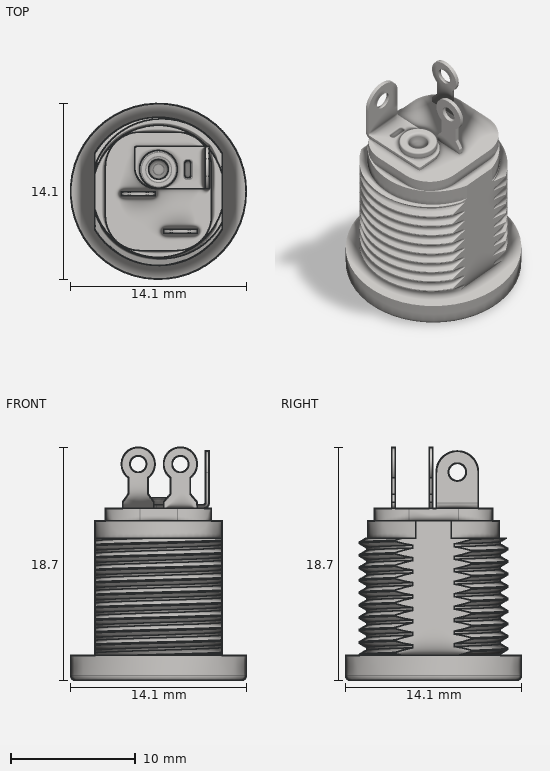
import cadquery as cq
import math

flange_top = 2.0
thread_top = 11.4
collar_top = 12.8
base_top = 13.8
part_top = 18.7

flange_diameter = 14.1
flange_round = 0.4
collar_diameter = 10.6
width_across_flats = 10.2

crest_radius = 5.95
root_radius = 5.36
pitch = 1.0
crest_width = 0.1
flank_half_angle = 30.0
first_crest_height = 0.28
tooth_sink = 0.1

base_length_x = 8.5
base_length_y = 9.5
base_corner_radius = 2.75

lug_thickness = 0.3
lug_ring_radius = 1.35
lug_hole_diameter = 1.3
lug_neck_width = 1.6
lug_shoulder_bottom = 0.5
lug_shoulder_top = 1.15
left_lug_foot_width = 2.5
right_lug_foot_width = 2.7
left_lug_x = -1.62
right_lug_x = 1.76
left_lug_front_y = -0.35
right_lug_front_y = -3.35

bracket_thickness = 0.3
bracket_x_min = -1.91
bracket_x_max = 4.07
bracket_y_min = 0.22
bracket_y_max = 3.6
bracket_top = 18.4
bracket_hole_diameter = 1.4
bend_inner_radius = 0.15
plate_large_corner = 1.75
plate_small_corner = 0.15

slot_center_x = 2.36
slot_width = 0.46
slot_length = 1.36
slot_corner_radius = 0.17
slot_depth = 0.27
slot_floor_round = 0.14
slot_rim_round = 0.12
rim_search_margin = 0.02

rivet_y = 1.765
rivet_head_diameter = 3.03
rivet_head_height = 0.56
rivet_head_round = 0.12
rivet_shank_diameter = 2.0
rivet_recess_diameter = 1.58
rivet_recess_depth = 0.62
rivet_recess_floor_round = 0.35
rivet_recess_rim_round = 0.25


def thread_ridge():
    """Helical ridge, longer than the threaded stretch at both ends and trimmed to it."""
    inner_radius = root_radius - tooth_sink
    crest_half = crest_width / 2
    depth = crest_radius - inner_radius
    inner_half = crest_half + depth * math.tan(math.radians(flank_half_angle))
    helix = cq.Wire.makeHelix(pitch, thread_top + pitch, root_radius)
    helix = helix.translate(cq.Vector(0, 0, first_crest_height))
    ridge = (
        cq.Workplane("XZ")
        .polyline([
            (inner_radius, first_crest_height - inner_half),
            (crest_radius, first_crest_height - crest_half),
            (crest_radius, first_crest_height + crest_half),
            (inner_radius, first_crest_height + inner_half),
        ])
        .close()
        .sweep(cq.Workplane(obj=helix), isFrenet=True)
    )
    stretch = (
        cq.Workplane("XY")
        .workplane(offset=flange_top)
        .circle(flange_diameter / 2)
        .extrude(thread_top - flange_top)
    )
    return ridge.intersect(stretch)


def make_housing():
    """Round flange, threaded barrel and collar, with two flats along the barrel."""
    flange = (
        cq.Workplane("XY")
        .circle(flange_diameter / 2)
        .extrude(flange_top)
        .faces("<Z")
        .edges()
        .fillet(flange_round)
    )
    core = (
        cq.Workplane("XY")
        .workplane(offset=flange_top)
        .circle(root_radius)
        .extrude(thread_top - flange_top)
    )
    collar = (
        cq.Workplane("XY")
        .workplane(offset=thread_top)
        .circle(collar_diameter / 2)
        .extrude(collar_top - thread_top)
    )
    flats = (
        cq.Workplane("XY")
        .workplane(offset=flange_top)
        .rect(width_across_flats, flange_diameter)
        .extrude(collar_top - flange_top)
    )
    barrel = core.union(thread_ridge()).union(collar).intersect(flats)
    return flange.union(barrel)


def make_base():
    """Rounded plate on the collar, pierced by the rivet."""
    plate = (
        cq.Workplane("XY")
        .workplane(offset=collar_top)
        .rect(base_length_x, base_length_y)
        .extrude(base_top - collar_top)
        .edges("|Z")
        .fillet(base_corner_radius)
    )
    return plate.cut(rivet_shank())


def make_lug(center_x, front_y, foot_width):
    """Flat solder lug standing on the base plate."""
    ring_z = part_top - lug_ring_radius
    shoulder_bottom_z = base_top + lug_shoulder_bottom
    shoulder_top_z = base_top + lug_shoulder_top
    foot_half = foot_width / 2
    neck_half = lug_neck_width / 2
    back_plane = cq.Workplane("XZ", origin=(center_x, front_y + lug_thickness, 0))
    stem = (
        back_plane
        .polyline([
            (-foot_half, base_top),
            (foot_half, base_top),
            (foot_half, shoulder_bottom_z),
            (neck_half, shoulder_top_z),
            (neck_half, ring_z),
            (-neck_half, ring_z),
            (-neck_half, shoulder_top_z),
            (-foot_half, shoulder_bottom_z),
        ])
        .close()
        .extrude(lug_thickness)
    )
    ring = back_plane.center(0, ring_z).circle(lug_ring_radius).extrude(lug_thickness)
    hole = back_plane.center(0, ring_z).circle(lug_hole_diameter / 2).extrude(lug_thickness)
    return stem.union(ring).cut(hole)


def bracket_slot():
    """Rounded cutter for the pressed slot."""
    return (
        cq.Workplane("XY", origin=(slot_center_x, rivet_y, base_top + bracket_thickness))
        .rect(slot_width, slot_length)
        .extrude(-slot_depth)
        .edges("|Z")
        .fillet(slot_corner_radius)
        .faces("<Z")
        .edges()
        .fillet(slot_floor_round)
    )


def make_bracket():
    """Sheet bent up at its +X end into a round-topped tab."""
    width = bracket_y_max - bracket_y_min
    middle_y = (bracket_y_max + bracket_y_min) / 2
    plate_top = base_top + bracket_thickness
    tab_hole_z = bracket_top - width / 2
    bend_outer_radius = bend_inner_radius + bracket_thickness
    tab_inner_x = bracket_x_max - bracket_thickness

    plate = (
        cq.Workplane("XZ", origin=(0, bracket_y_max, 0))
        .moveTo(bracket_x_min, base_top)
        .lineTo(bracket_x_max - bend_outer_radius, base_top)
        .radiusArc((bracket_x_max, base_top + bend_outer_radius), -bend_outer_radius)
        .lineTo(bracket_x_max, bracket_top)
        .lineTo(tab_inner_x, bracket_top)
        .lineTo(tab_inner_x, plate_top + bend_inner_radius)
        .radiusArc((tab_inner_x - bend_inner_radius, plate_top), bend_inner_radius)
        .lineTo(bracket_x_min, plate_top)
        .close()
        .extrude(width)
    )
    plate = plate.edges("|Z and <X and <Y").fillet(plate_large_corner)
    plate = plate.edges("|Z and <X and >Y").fillet(plate_small_corner)

    tab_outline = (
        cq.Workplane("YZ", origin=(bracket_x_min, 0, 0))
        .moveTo(bracket_y_min, base_top)
        .lineTo(bracket_y_max, base_top)
        .lineTo(bracket_y_max, tab_hole_z)
        .threePointArc((middle_y, bracket_top), (bracket_y_min, tab_hole_z))
        .close()
        .extrude(bracket_x_max - bracket_x_min)
    )
    tab_hole = (
        cq.Workplane("YZ", origin=(tab_inner_x, middle_y, tab_hole_z))
        .circle(bracket_hole_diameter / 2)
        .extrude(bracket_thickness)
    )
    bracket = plate.intersect(tab_outline).cut(tab_hole).cut(bracket_slot())
    slot_rim = cq.selectors.BoxSelector(
        (slot_center_x - slot_width, rivet_y - slot_length, plate_top - rim_search_margin),
        (slot_center_x + slot_width, rivet_y + slot_length, plate_top + rim_search_margin),
    )
    return bracket.edges(slot_rim).fillet(slot_rim_round).cut(rivet_shank())


def rivet_shank():
    """Shank through the bracket and the base plate."""
    return (
        cq.Workplane("XY", origin=(0, rivet_y, collar_top))
        .circle(rivet_shank_diameter / 2)
        .extrude(base_top + bracket_thickness - collar_top)
    )


def make_rivet():
    """Round-edged head with a rounded recess, on a plain shank."""
    head_bottom = base_top + bracket_thickness
    head = (
        cq.Workplane("XY", origin=(0, rivet_y, head_bottom))
        .circle(rivet_head_diameter / 2)
        .extrude(rivet_head_height)
        .faces(">Z")
        .edges()
        .fillet(rivet_head_round)
    )
    recess = (
        cq.Workplane("XY", origin=(0, rivet_y, head_bottom + rivet_head_height))
        .circle(rivet_recess_diameter / 2)
        .extrude(-rivet_recess_depth)
        .faces("<Z")
        .edges()
        .fillet(rivet_recess_floor_round)
    )
    rivet = head.union(rivet_shank()).cut(recess)
    smallest_edge = cq.selectors.RadiusNthSelector(0)
    return rivet.faces(">Z").edges(smallest_edge).fillet(rivet_recess_rim_round)


housing = make_housing()
base = make_base()
left_lug = make_lug(left_lug_x, left_lug_front_y, left_lug_foot_width)
right_lug = make_lug(right_lug_x, right_lug_front_y, right_lug_foot_width)
bracket = make_bracket()
rivet = make_rivet()

result = cq.Compound.makeCompound([
    housing.val(),
    base.val(),
    left_lug.val(),
    right_lug.val(),
    bracket.val(),
    rivet.val(),
])